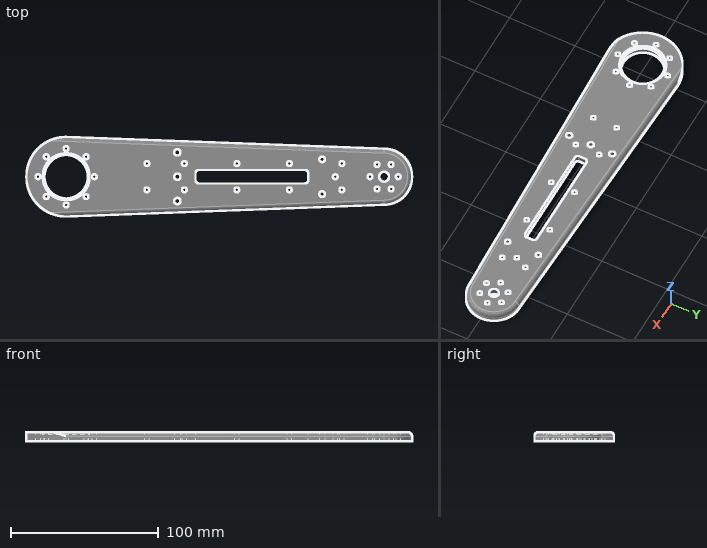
import cadquery as cq

length = 261.0
thickness = 6.3
wide_diameter = 54.0
wide_radius = wide_diameter / 2
narrow_radius = 19.0
centre_distance = length - wide_radius - narrow_radius
edge_fillet = thickness / 2

bore_diameter = 29.2
seat_diameter = 31.9
seat_depth = 1.5
wide_bolt_circle = 38.0
wide_bolt_count = 8

shaft_diameter = 6.5
narrow_bolt_circle = 19.0
narrow_bolt_count = 6

slot_start = 87.5
slot_end = 163.7
slot_width = 9.0
slot_corner = 2.0

small_hole = 3.1
medium_hole = 3.7
large_hole = 4.2
row_offset = 9.0
row_start = 80.0
row_pitch = 35.5
row_count = 4
rear_pair_x = 54.5
cross_row_x = 75.2
cross_row_offset = 16.5
front_pair_x = 173.0
front_pair_offset = 11.7
single_hole_x = 182.0


def tapered_plate():
    """Plate with a semicircle at each end, joined by straight tapering sides."""
    return (
        cq.Workplane("XY")
        .moveTo(0, wide_radius)
        .lineTo(centre_distance, narrow_radius)
        .threePointArc((centre_distance + narrow_radius, 0), (centre_distance, -narrow_radius))
        .lineTo(0, -wide_radius)
        .threePointArc((-wide_radius, 0), (0, wide_radius))
        .close()
        .extrude(thickness)
    )


def rounded_envelope():
    """Body with the sides run on past the wide end, rounded on top except at its square back."""
    back_x = -2 * wide_radius
    side_slope = (wide_radius - narrow_radius) / centre_distance
    back_half_width = wide_radius - side_slope * back_x
    return (
        cq.Workplane("XY")
        .moveTo(back_x, back_half_width)
        .lineTo(centre_distance, narrow_radius)
        .threePointArc((centre_distance + narrow_radius, 0), (centre_distance, -narrow_radius))
        .lineTo(back_x, -back_half_width)
        .close()
        .extrude(thickness)
        .faces(">Z")
        .edges("not <X")
        .fillet(edge_fillet)
    )


def drill(body, points, diameter):
    """Cut through holes at the given points."""
    holes = cq.Workplane("XY").pushPoints(points).circle(diameter / 2).extrude(thickness)
    return body.cut(holes)


def drill_bolt_circle(body, centre_x, circle_diameter, count):
    """Cut a ring of small through holes, the first one on the X axis."""
    holes = (
        cq.Workplane("XY", origin=(centre_x, 0, 0))
        .polarArray(circle_diameter / 2, 0, 360, count)
        .circle(small_hole / 2)
        .extrude(thickness)
    )
    return body.cut(holes)


def mirrored_pair(x, offset):
    return [(x, offset), (x, -offset)]


result = tapered_plate().intersect(rounded_envelope())

result = drill(result, [(0, 0)], bore_diameter)
seat = (
    cq.Workplane("XY", origin=(0, 0, thickness - seat_depth))
    .circle(seat_diameter / 2)
    .extrude(seat_depth)
)
result = result.cut(seat)
result = drill_bolt_circle(result, 0, wide_bolt_circle, wide_bolt_count)

result = drill(result, [(centre_distance, 0)], shaft_diameter)
result = drill_bolt_circle(result, centre_distance, narrow_bolt_circle, narrow_bolt_count)

slot = (
    cq.Workplane("XY", origin=((slot_start + slot_end) / 2, 0, 0))
    .rect(slot_end - slot_start, slot_width)
    .extrude(thickness)
    .edges("|Z")
    .fillet(slot_corner)
)
result = result.cut(slot)

small_points = mirrored_pair(rear_pair_x, row_offset) + [(single_hole_x, 0)]
for index in range(row_count):
    small_points += mirrored_pair(row_start + index * row_pitch, row_offset)
result = drill(result, small_points, small_hole)
result = drill(result, mirrored_pair(front_pair_x, front_pair_offset), medium_hole)
result = drill(result, mirrored_pair(cross_row_x, cross_row_offset) + [(cross_row_x, 0)], large_hole)